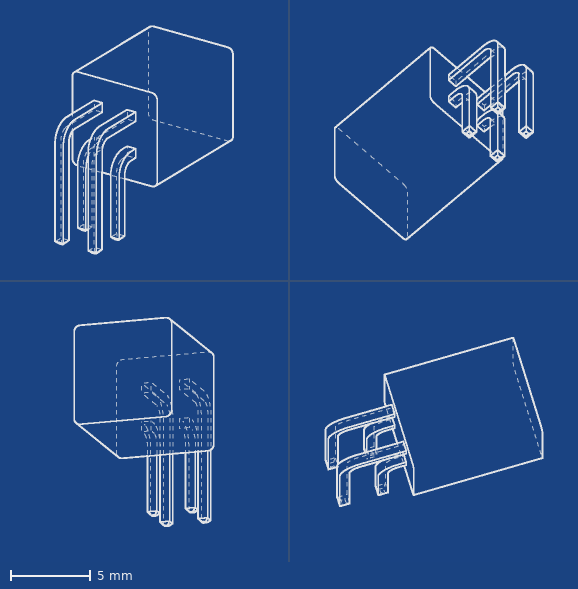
import cadquery as cq

housing_side = 6.5
overall_length = 12.88
overall_height = 10.0
housing_corner_radius = 0.4

pin_width = 0.65
pin_pitch = 2.54
inner_bend_radius = 0.67
tip_chamfer = 0.19
front_reach = 4.38

housing_length = overall_length - front_reach
leg_bottom = housing_side / 2 - overall_height
bend_radius = inner_bend_radius + pin_width / 2
upper_leg_y = -(front_reach - pin_width / 2)


def make_housing():
    block = cq.Workplane("XY").box(housing_side, housing_length, housing_side)
    block = block.edges("|Y").fillet(housing_corner_radius)
    return block.translate((0, housing_length / 2, 0))


def make_pin(x, z, leg_y):
    """Square pin leaving the housing front at (x, z), with its leg at leg_y."""
    straight = (
        cq.Workplane("XZ", origin=(x, 0, z))
        .rect(pin_width, pin_width)
        .extrude(-(leg_y + bend_radius))
    )
    bend = (
        straight.faces("<Y").workplane(centerOption="CenterOfMass")
        .rect(pin_width, pin_width)
        .revolve(90, (-0.13, -bend_radius), (0.13, -bend_radius), combine=False)
    )
    leg_top = z - bend_radius
    leg = (
        cq.Workplane("XY", origin=(x, leg_y, leg_top))
        .rect(pin_width, pin_width)
        .extrude(leg_bottom - leg_top)
        .faces("<Z")
        .chamfer(tip_chamfer)
    )
    return straight.union(bend).union(leg)


result = make_housing()
for x in (-pin_pitch / 2, pin_pitch / 2):
    for row_drop in (0, pin_pitch):
        pin = make_pin(x, pin_pitch / 2 - row_drop, upper_leg_y + row_drop)
        result = result.union(pin)